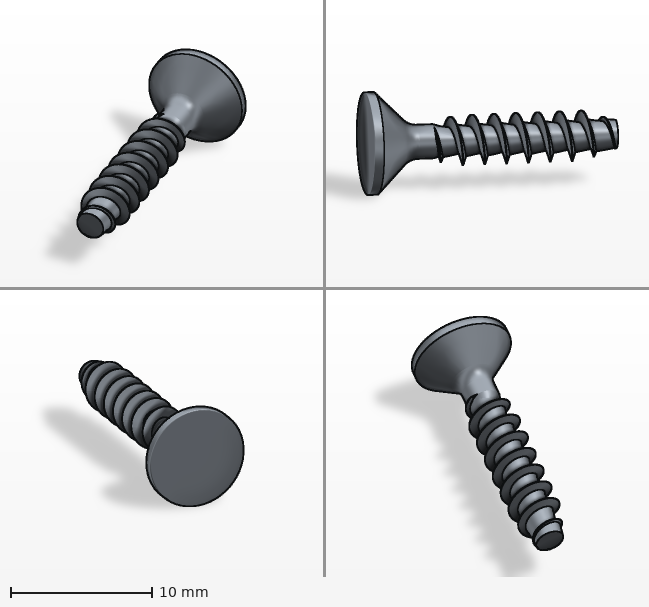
import cadquery as cq
import math

length = 18.0

head_radius = 3.65
rim_thickness = 0.68
rim_rounding = 0.07
shank_radius = 1.22
cone_half_angle = 45
neck_fillet = 1.39
shank_end = 4.85

core_low_radius = 0.97
core_high_radius = 1.17
lead_cone_end = 5.67

first_crest = 4.23
last_crest = 16.81
crest_intervals = 8
pitch = (last_crest - first_crest) / crest_intervals
helix_start = first_crest - pitch
crest_radius = 1.78
base_width = 0.52
base_half_width = base_width / 2
crest_half_width = 0.027
turns = 11
points_per_turn = 24
run_in_start = 4.63
run_in_end = 6.62
run_in_radius = 1.35
run_out_start = 15.6
run_out_radius = 0.99


def head_and_shank():
    bend = math.radians(cone_half_angle)
    fillet_rise = neck_fillet * (1 - math.cos(bend))
    cone_small_radius = shank_radius + fillet_rise
    cone_height = (head_radius - cone_small_radius) / math.tan(bend)
    cone_end = rim_thickness + cone_height
    fillet_end = cone_end + neck_fillet * math.sin(bend)
    half_bend = bend / 2
    fillet_mid = (
        shank_radius + neck_fillet * (1 - math.cos(half_bend)),
        fillet_end - neck_fillet * math.sin(half_bend),
    )
    body = (
        cq.Workplane("XZ")
        .lineTo(head_radius, 0)
        .lineTo(head_radius, rim_thickness)
        .lineTo(cone_small_radius, cone_end)
        .threePointArc(fillet_mid, (shank_radius, fillet_end))
        .lineTo(shank_radius, shank_end)
        .lineTo(core_low_radius, lead_cone_end)
        .lineTo(0, lead_cone_end)
        .close()
        .revolve(360, (0, 0, 0), (0, 1, 0))
    )
    return body.faces("<Z").edges().fillet(rim_rounding)


def crest_radius_at(depth):
    """Crest radius, growing along the run-in and fading along the run-out."""
    run_in = (depth - run_in_start) / (run_in_end - run_in_start)
    run_out = (depth - run_out_start) / (length - run_out_start)
    growing = run_in_radius + run_in * (crest_radius - run_in_radius)
    fading = crest_radius + run_out * (run_out_radius - crest_radius)
    return min(crest_radius, max(run_in_radius, growing), max(run_out_radius, fading))


def thread_half_width_at(depth):
    height_share = (crest_radius_at(depth) - core_low_radius) / (crest_radius - core_low_radius)
    return crest_half_width + (base_half_width - crest_half_width) * height_share


def turn_section(depth):
    """Corners (radius, axial position) of one turn: thread, then core up to the next turn."""
    crest = crest_radius_at(depth)
    half_width = thread_half_width_at(depth)
    shoulder = min(core_high_radius, (core_low_radius + crest) / 2)
    next_depth = depth + pitch
    return [
        (core_low_radius, depth - half_width),
        (crest, depth - crest_half_width),
        (crest, depth + crest_half_width),
        (shoulder, depth + half_width),
        (core_low_radius, next_depth - thread_half_width_at(next_depth)),
    ]


def helix_depth(turn):
    return helix_start + pitch * turn


def turn_edges(first_turn):
    """Helical edges traced by the section's corners over one turn."""
    paths = [[] for _ in turn_section(0)]
    for step in range(points_per_turn + 1):
        share = step / points_per_turn
        angle = 2 * math.pi * share
        for path, (radius, z) in zip(paths, turn_section(helix_depth(first_turn + share))):
            path.append(cq.Vector(radius * math.cos(angle), radius * math.sin(angle), z))
    return [cq.Edge.makeSpline(path) for path in paths]


def spiral_end(turn, edge):
    """Closes one end of the screw: a helical floor out to the edge, and the step it leaves."""
    axis_start = cq.Vector(0, 0, helix_depth(turn))
    axis_end = cq.Vector(0, 0, helix_depth(turn + 1))
    floor = cq.Face.makeRuledSurface(cq.Edge.makeLine(axis_start, axis_end), edge)
    section = [cq.Vector(radius, 0, z) for radius, z in turn_section(helix_depth(turn))]
    step_outline = cq.Wire.makePolygon([axis_start, *section, axis_end], close=True)
    return [floor, cq.Face.makeFromWires(step_outline)]


def threaded_end():
    """Thread and core as one helical skin, cut square at the shank and the tip."""
    skin = []
    for turn in range(turns):
        edges = turn_edges(turn)
        skin += [cq.Face.makeRuledSurface(a, b) for a, b in zip(edges, edges[1:])]
    skin += spiral_end(0, turn_edges(0)[0])
    skin += spiral_end(turns, turn_edges(turns - 1)[-1])
    screw_thread = cq.Workplane(cq.Solid.makeSolid(cq.Shell.makeShell(skin)))
    threaded_length = length - shank_end
    envelope = cq.Workplane("XY").workplane(offset=shank_end).circle(head_radius).extrude(threaded_length)
    return envelope.intersect(screw_thread)


screw = head_and_shank().union(threaded_end())
result = screw.rotate((0, 0, 0), (1, 0, 0), 90)